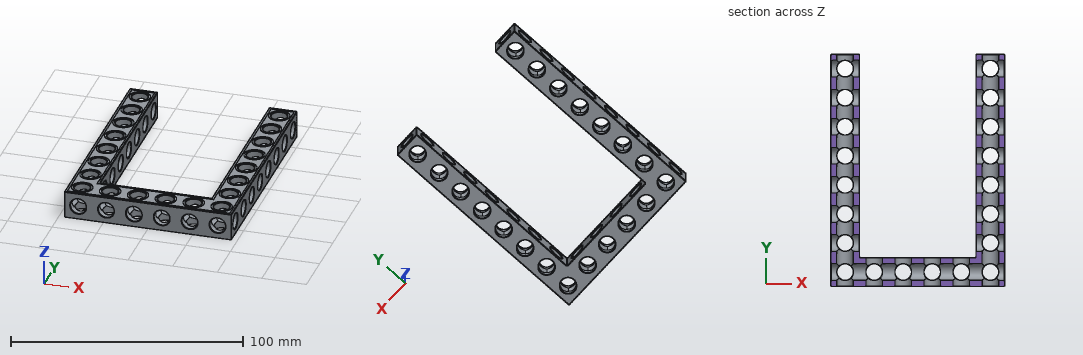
import cadquery as cq

PITCH = 12.5
COLUMNS = 6
ROWS = 8
WIDTH = COLUMNS * PITCH
LENGTH = ROWS * PITCH
HEIGHT = PITCH
MID_HEIGHT = HEIGHT / 2
EDGE_CHAMFER = 0.3

HOLE_DIAMETER = 7.0
HOLE_CHAMFER = 0.3

RIM_FLAT = 0.8
RIM_WIDTH = EDGE_CHAMFER + RIM_FLAT
RING_DIAMETER = 9.2
RECESS_DEPTH = 0.2
RECESS_FLOOR = HEIGHT - RECESS_DEPTH


def grid(count):
    """Centred positions of count holes at the hole pitch."""
    return [(i - (count - 1) / 2) * PITCH for i in range(count)]


COLUMN_XS = grid(COLUMNS)
ROW_YS = grid(ROWS)
ARM_XS = [COLUMN_XS[0], COLUMN_XS[-1]]
CROSSBAR_Y = ROW_YS[0]

VERTICAL_HOLES = [(x, CROSSBAR_Y) for x in COLUMN_XS] + [(x, y) for x in ARM_XS for y in ROW_YS[1:]]


def u_prism(inset, bottom, height):
    """U-shaped prism with its outline moved inwards by inset, open towards +Y."""
    base = cq.Workplane("XY", origin=(0, 0, bottom))
    outer = base.rect(WIDTH - 2 * inset, LENGTH - 2 * inset).extrude(height)
    opening = base.center(0, PITCH).rect(WIDTH - 2 * PITCH + 2 * inset, LENGTH + 2 * inset).extrude(height)
    return outer.cut(opening)


def top_recess():
    """Volume removed from the top between the rim and the rings."""
    rings = (
        cq.Workplane("XY", origin=(0, 0, RECESS_FLOOR))
        .pushPoints(VERTICAL_HOLES)
        .circle(RING_DIAMETER / 2)
        .extrude(RECESS_DEPTH)
    )
    return u_prism(RIM_WIDTH, RECESS_FLOOR, RECESS_DEPTH).cut(rings)


def hole_cutter(length):
    """Cylinder along Z, centred on the origin, flared at both ends for the hole chamfers."""
    radius = HOLE_DIAMETER / 2
    flared_radius = radius + HOLE_CHAMFER
    half = length / 2
    profile = [
        (0, -half),
        (flared_radius, -half),
        (radius, -half + HOLE_CHAMFER),
        (radius, half - HOLE_CHAMFER),
        (flared_radius, half),
        (0, half),
    ]
    return cq.Workplane("XZ").polyline(profile).close().revolve(360, (0, 0), (0, 1))


def cut_vertical_holes(body):
    """Holes along Z through the crossbar and both arms."""
    cutter = hole_cutter(HEIGHT)
    for x, y in VERTICAL_HOLES:
        body = body.cut(cutter.translate((x, y, MID_HEIGHT)))
    return body


def cut_lengthwise_holes(body):
    """Holes along Y: the full length of the arms, and across the crossbar between them."""
    arm_cutter = hole_cutter(LENGTH).rotate((0, 0, 0), (1, 0, 0), 90)
    crossbar_cutter = hole_cutter(PITCH).rotate((0, 0, 0), (1, 0, 0), 90)
    for x in ARM_XS:
        body = body.cut(arm_cutter.translate((x, 0, MID_HEIGHT)))
    for x in COLUMN_XS[1:-1]:
        body = body.cut(crossbar_cutter.translate((x, CROSSBAR_Y, MID_HEIGHT)))
    return body


def cut_crosswise_holes(body):
    """Holes along X: the full length of the crossbar, and across each arm."""
    crossbar_cutter = hole_cutter(WIDTH).rotate((0, 0, 0), (0, 1, 0), 90)
    arm_cutter = hole_cutter(PITCH).rotate((0, 0, 0), (0, 1, 0), 90)
    body = body.cut(crossbar_cutter.translate((0, CROSSBAR_Y, MID_HEIGHT)))
    for x in ARM_XS:
        for y in ROW_YS[1:]:
            body = body.cut(arm_cutter.translate((x, y, MID_HEIGHT)))
    return body


frame = u_prism(0, 0, HEIGHT).edges().chamfer(EDGE_CHAMFER)
frame = frame.cut(top_recess())
frame = cut_vertical_holes(frame)
frame = cut_lengthwise_holes(frame)
frame = cut_crosswise_holes(frame)

result = frame